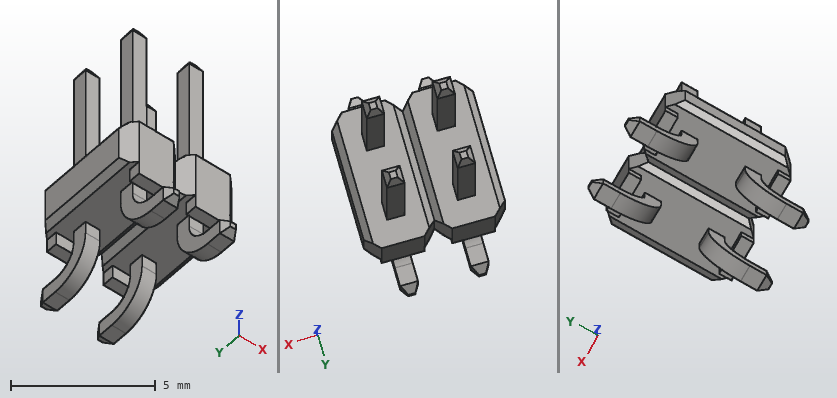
import cadquery as cq
import math

total_height = 9.93
total_depth = 7.2
pitch = 2.54
columns = 2

housing_depth = 4.99
corner_cut = 0.5
edge_chamfer = 0.26
block_height = 1.97
foot_height = 0.58
foot_bottom = 1.6

pin_width = 0.64
leg_width = 0.65
bend_inner_radius = 0.99
tip_length = 0.34
tip_width = 0.25

block_bottom = foot_bottom + foot_height
block_top = block_bottom + block_height
foot_width = pitch - 2 * corner_cut
foot_centre_y = (housing_depth - corner_cut) / 2
column_centres = [(i - (columns - 1) / 2) * pitch for i in range(columns)]
row_centre = pitch / 2
row_sides = (-1, 1)


def make_block(x):
    """One octagonal block of the housing with a standing foot at each end."""
    block = (
        cq.Workplane("XY")
        .box(pitch, housing_depth, block_height, centered=(True, True, False))
        .edges("|Z")
        .chamfer(corner_cut)
    )
    bevel = (
        cq.Workplane("XY")
        .box(pitch, housing_depth, block_height, centered=(True, True, False))
        .edges("|Y")
        .chamfer(edge_chamfer)
    )
    block = block.intersect(bevel).translate((x, 0, block_bottom))
    for side in row_sides:
        foot = (
            cq.Workplane("XY")
            .box(foot_width, corner_cut, foot_height, centered=(True, True, False))
            .translate((x, side * foot_centre_y, foot_bottom))
        )
        block = block.union(foot)
    return block


def make_housing():
    """The blocks of all columns, joined side by side into one solid."""
    housing = make_block(column_centres[0])
    for x in column_centres[1:]:
        housing = housing.union(make_block(x))
    return housing


def add_tip(bar, end_face, width):
    """Extend a square bar from its end face with a tapered tip."""
    taper_angle = math.degrees(math.atan((width - tip_width) / 2 / tip_length))
    tip = bar.faces(end_face).workplane(centerOption="CenterOfMass").rect(width, width)
    return bar.union(tip.extrude(tip_length, taper=taper_angle, combine=False))


def make_pin(x, y):
    """Straight contact pin standing on top of the housing."""
    shaft_length = total_height - block_top - tip_length
    shaft = cq.Workplane("XY").rect(pin_width, pin_width).extrude(shaft_length)
    return add_tip(shaft, ">Z", pin_width).translate((x, y, block_top))


def make_leg(x, side):
    """Solder leg dropping from the housing and bent outward, away from the XZ plane."""
    inner_y = row_centre - leg_width / 2
    outer_y = row_centre + leg_width / 2
    bend_y = outer_y + bend_inner_radius
    bend_z = leg_width + bend_inner_radius
    bend_outer_radius = bend_z
    tip_start_y = total_depth / 2 - tip_length
    diagonal = math.cos(math.radians(45))
    outer_mid = (bend_y - bend_outer_radius * diagonal, bend_z - bend_outer_radius * diagonal)
    inner_mid = (bend_y - bend_inner_radius * diagonal, bend_z - bend_inner_radius * diagonal)
    leg = (
        cq.Workplane("YZ")
        .moveTo(inner_y, block_bottom)
        .lineTo(inner_y, bend_z)
        .threePointArc(outer_mid, (bend_y, 0))
        .lineTo(tip_start_y, 0)
        .lineTo(tip_start_y, leg_width)
        .lineTo(bend_y, leg_width)
        .threePointArc(inner_mid, (outer_y, bend_z))
        .lineTo(outer_y, block_bottom)
        .close()
        .extrude(leg_width / 2, both=True)
    )
    leg = add_tip(leg, ">Y", leg_width)
    if side < 0:
        leg = leg.rotate((0, 0, 0), (0, 0, 1), 180)
    return leg.translate((x, 0, 0))


housing = make_housing()
pins = []
legs = []
for column_x in column_centres:
    for row_side in row_sides:
        pins.append(make_pin(column_x, row_side * row_centre).solids().val())
        legs.append(make_leg(column_x, row_side).solids().val())

result = cq.Compound.makeCompound([housing.solids().val(), *pins, *legs])